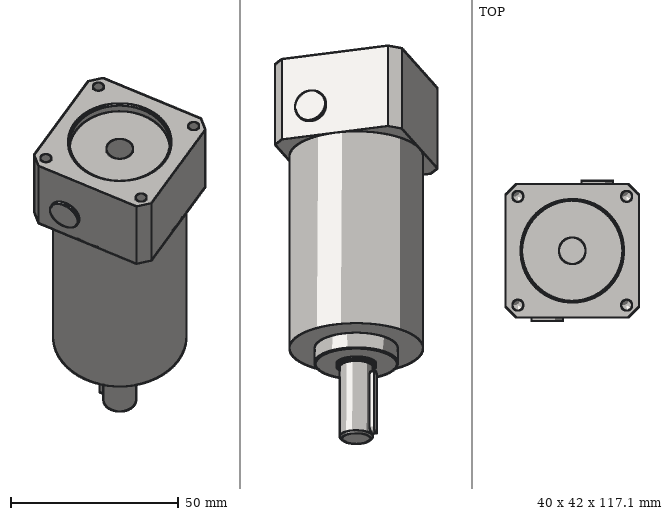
import cadquery as cq
import math

total_height = 117.1

flange_side = 40.0
flange_height = 26.0
flange_bevel = 3.3

recess_diameter = 30.0
recess_depth = 3.0
recess_chamfer = 0.5
bore_diameter = 8.0
bore_depth = 19.9
screw_diameter = 3.3
screw_depth = 10.0
screw_circle_diameter = 46.0
drill_tip_angle = 118.0

plug_diameter = 9.5
plug_height = 1.0
plug_offset = 7.5
plug_drop = 16.5

body_diameter = flange_side
body_end = 88.0
pilot_diameter = 25.0
pilot_height = 5.0
pilot_chamfer = 0.29
collar_diameter = 12.0
collar_height = 1.0
collar_chamfer = 0.29
shaft_diameter = 10.0
shaft_chamfer = 0.7

key_width = 3.0
key_length = 20.0
key_reach = 6.1
key_end_gap = 1.0


def cylinder(diameter, start, end):
    """Cylinder on the Z axis between two depths below the top face."""
    return cq.Workplane("XY").workplane(offset=-end).circle(diameter / 2).extrude(end - start)


def revolve_about_z(profile):
    """Solid of revolution from a closed list of (radius, Z) points."""
    return cq.Workplane("XZ").polyline(profile).close().revolve(360, (0, 0, 0), (0, 1, 0))


def make_flange():
    block = cq.Workplane("XY").rect(flange_side, flange_side).extrude(-flange_height)
    return block.edges("|Z").chamfer(flange_bevel)


def make_turned_parts():
    pilot_end = body_end + pilot_height
    collar_end = pilot_end + collar_height
    body = cylinder(body_diameter, flange_height, body_end)
    pilot = cylinder(pilot_diameter, body_end, pilot_end).faces("<Z").chamfer(pilot_chamfer)
    collar = cylinder(collar_diameter, pilot_end, collar_end).faces("<Z").chamfer(collar_chamfer)
    shaft = cylinder(shaft_diameter, collar_end, total_height).faces("<Z").chamfer(shaft_chamfer)
    return body.union(pilot).union(collar).union(shaft)


def make_key():
    key_centre = key_end_gap + key_length / 2 - total_height
    return (
        cq.Workplane("YZ")
        .center(0, key_centre)
        .slot2D(key_length, key_width, 90)
        .extrude(-key_reach)
    )


def make_plug():
    """Plug on the -Y face, left of the centre plane."""
    return (
        cq.Workplane("XZ", origin=(-plug_offset, -flange_side / 2, -plug_drop))
        .circle(plug_diameter / 2)
        .extrude(plug_height)
    )


def make_screw_hole():
    """Blind drilled hole on the Z axis with a conical bottom."""
    radius = screw_diameter / 2
    tip_depth = radius / math.tan(math.radians(drill_tip_angle / 2))
    profile = [(0, 0), (radius, 0), (radius, -screw_depth), (0, -screw_depth - tip_depth)]
    return revolve_about_z(profile)


def make_recess():
    """Cutter for the motor recess, with a chamfered rim."""
    radius = recess_diameter / 2
    profile = [
        (0, 0),
        (radius + recess_chamfer, 0),
        (radius, -recess_chamfer),
        (radius, -recess_depth),
        (0, -recess_depth),
    ]
    return revolve_about_z(profile)


front_plug = make_plug()
back_plug = front_plug.rotate((0, 0, 0), (0, 0, 1), 180)

result = make_flange().union(make_turned_parts()).union(make_key())
result = result.union(front_plug).union(back_plug)

result = result.cut(make_recess())
result = result.cut(cylinder(bore_diameter, 0, recess_depth + bore_depth))

screw_hole = make_screw_hole()
screw_offset = screw_circle_diameter / 2 * math.cos(math.radians(45))
for x_side in (-1, 1):
    for y_side in (-1, 1):
        result = result.cut(screw_hole.translate((x_side * screw_offset, y_side * screw_offset, 0)))